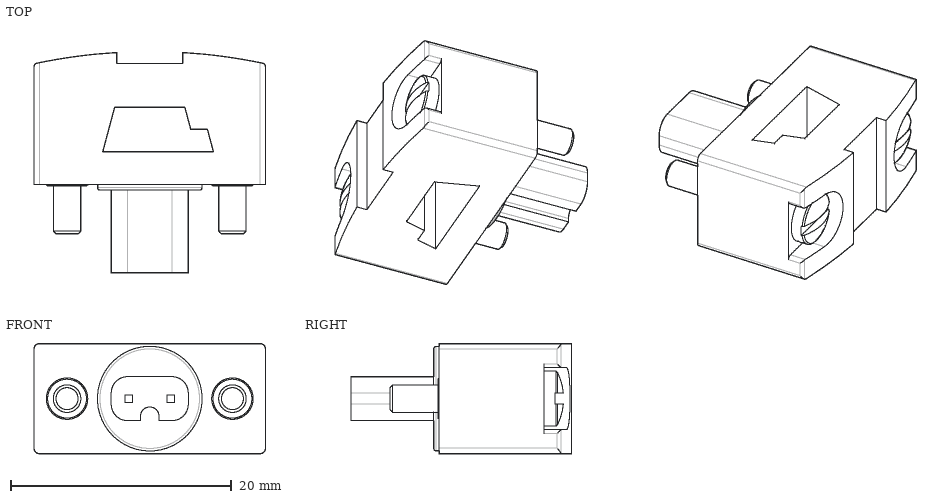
import cadquery as cq
import math

WIDTH = 21.0
HEIGHT = 10.0
BODY_DEPTH = 12.0
BACK_RADIUS = 50.0
LONG_EDGE_FILLET = 0.5
SIDE_EDGE_FILLET = 0.34

NOTCH_WIDTH = 5.96
NOTCH_DEPTH = 0.99

WINDOW_FRONT = 3.0
WINDOW_DEPTH = 4.01
WINDOW_BACK_WIDTH = 6.35
WINDOW_STEP_WIDTH = 1.51
WINDOW_SIDE_ANGLE = 15.0

PLUG_LENGTH = 8.0
PLUG_WIDTH = 7.0
PLUG_HEIGHT = 4.0
PLUG_CORNER_RADIUS = 1.5
KEYWAY_WIDTH = 1.68
KEYWAY_HEIGHT = 1.24
CONTACT_SPACING = 3.8
CONTACT_SIZE = 0.7

FLANGE_DIAMETER = 9.5
FLANGE_HEIGHT = 0.5
FLANGE_FILLET = 0.23

SCREW_SPACING = 15.0
SHANK_DIAMETER = 2.5
SHANK_LENGTH = 4.47
SHANK_CHAMFER = 0.25
COLLAR_DIAMETER = 3.75
COLLAR_HEIGHT = 0.13
COLLAR_CHAMFER = 0.115
HEAD_DIAMETER = 2 * SHANK_DIAMETER
HEAD_RIM_HEIGHT = 1.1
HEAD_RIM_CHAMFER = 0.15
HEAD_HEIGHT = 1.78
DRIVER_SLOT_WIDTH = 0.99
DRIVER_SLOT_DEPTH = 0.78

POCKET_DEPTH = 2.5
POCKET_WIDTH = 5.63

SIDES = (-1, 1)
EDGE_TOLERANCE = 0.02
half_width = WIDTH / 2
pocket_floor = BODY_DEPTH - POCKET_DEPTH


def bow_drop(x):
    """Distance of the bowed back in front of its apex at a given x."""
    return BACK_RADIUS - math.sqrt(BACK_RADIUS**2 - x**2)


apex_y = BODY_DEPTH + bow_drop(NOTCH_WIDTH / 2)
corner_y = apex_y - bow_drop(half_width)


def facing_front(y):
    """Workplane at a given y whose extrusions grow toward -Y."""
    return cq.Workplane("XZ", origin=(0, y, 0))


def make_block():
    """Housing outline with its bowed back, edges still sharp."""
    outline = (
        cq.Workplane("XY")
        .moveTo(-half_width, 0)
        .lineTo(half_width, 0)
        .lineTo(half_width, corner_y)
        .threePointArc((0, apex_y), (-half_width, corner_y))
        .close()
    )
    return outline.extrude(HEIGHT / 2, both=True)


def make_pocket(side):
    """Round-ended pocket around one screw, open to the side and to the back."""
    screw_x = side * SCREW_SPACING / 2
    round_end = facing_front(apex_y).center(screw_x, 0).circle(POCKET_WIDTH / 2)
    channel_x = screw_x + side * half_width / 2
    channel = facing_front(apex_y).center(channel_x, 0).rect(half_width, POCKET_WIDTH)
    depth = apex_y - pocket_floor
    return round_end.extrude(depth).union(channel.extrude(depth))


def make_window():
    """Trapezoid with a step in its +X side."""
    slope = math.tan(math.radians(WINDOW_SIDE_ANGLE))
    back_x = WINDOW_BACK_WIDTH / 2
    back_y = WINDOW_FRONT + WINDOW_DEPTH
    step_y = WINDOW_FRONT + WINDOW_DEPTH / 2
    step_x = back_x + slope * WINDOW_DEPTH / 2
    front_x = back_x + slope * WINDOW_DEPTH
    outline = cq.Workplane("XY").polyline([
        (-front_x, WINDOW_FRONT),
        (front_x + WINDOW_STEP_WIDTH, WINDOW_FRONT),
        (step_x + WINDOW_STEP_WIDTH, step_y),
        (step_x, step_y),
        (back_x, back_y),
        (-back_x, back_y),
    ])
    return outline.close().extrude(HEIGHT, both=True)


def make_notch():
    notch = cq.Workplane("XY").box(NOTCH_WIDTH, NOTCH_DEPTH * 2, HEIGHT, centered=(True, False, True))
    return notch.translate((0, BODY_DEPTH - NOTCH_DEPTH, 0))


def make_envelope():
    """Bar with rounded long edges that trims the block."""
    envelope = facing_front(apex_y).rect(WIDTH, HEIGHT).extrude(apex_y)
    return envelope.edges("|Y").fillet(LONG_EDGE_FILLET)


def is_side_rim(edge):
    """True for the edges of a side face along its back and beside its pocket."""
    center = edge.Center()
    return center.y > pocket_floor + EDGE_TOLERANCE and abs(center.z) < HEIGHT / 2 - EDGE_TOLERANCE


def make_housing():
    housing = make_block()
    for side in SIDES:
        housing = housing.cut(make_pocket(side))
    for face in ("<X", ">X"):
        rims = housing.faces(face).edges().filter(is_side_rim)
        housing = rims.fillet(SIDE_EDGE_FILLET)
    return housing.intersect(make_envelope()).cut(make_window()).cut(make_notch())


def make_plug():
    plug = facing_front(0).rect(PLUG_WIDTH, PLUG_HEIGHT).extrude(PLUG_LENGTH)
    plug = plug.edges("|Y").fillet(PLUG_CORNER_RADIUS)
    keyway_radius = KEYWAY_WIDTH / 2
    keyway_bottom = -PLUG_HEIGHT / 2
    shoulder_z = keyway_bottom + KEYWAY_HEIGHT - keyway_radius
    keyway = (
        facing_front(-FLANGE_HEIGHT)
        .moveTo(-keyway_radius, keyway_bottom)
        .lineTo(-keyway_radius, shoulder_z)
        .threePointArc((0, shoulder_z + keyway_radius), (keyway_radius, shoulder_z))
        .lineTo(keyway_radius, keyway_bottom)
        .close()
        .extrude(PLUG_LENGTH)
    )
    return plug.cut(keyway)


def make_contact_holes():
    """Square holes from the plug tip down to the flange."""
    centers = [(side * CONTACT_SPACING / 2, 0) for side in SIDES]
    holes = facing_front(-FLANGE_HEIGHT).pushPoints(centers).rect(CONTACT_SIZE, CONTACT_SIZE)
    return holes.extrude(PLUG_LENGTH)


def make_flange():
    flange = facing_front(0).circle(FLANGE_DIAMETER / 2).extrude(FLANGE_HEIGHT)
    return flange.faces("<Y").edges().fillet(FLANGE_FILLET)


def make_screw():
    """Visible ends of a screw, on the Y axis."""
    shank = facing_front(0).circle(SHANK_DIAMETER / 2).extrude(SHANK_LENGTH)
    shank = shank.faces("<Y").chamfer(SHANK_CHAMFER)
    collar = facing_front(0).circle(COLLAR_DIAMETER / 2).extrude(COLLAR_HEIGHT)
    collar = collar.faces("<Y").chamfer(COLLAR_CHAMFER)
    return shank.union(collar).union(make_screw_head())


def make_screw_head():
    rim_radius = HEAD_DIAMETER / 2
    dome_radius = rim_radius - HEAD_RIM_CHAMFER
    rim_top = pocket_floor + HEAD_RIM_HEIGHT
    dome_base = rim_top + HEAD_RIM_CHAMFER
    dome_top = pocket_floor + HEAD_HEIGHT
    dome_rise = dome_top - dome_base
    sphere_radius = (dome_radius**2 + dome_rise**2) / (2 * dome_rise)
    mid_x = dome_radius / 2
    mid_y = dome_top - sphere_radius + math.sqrt(sphere_radius**2 - mid_x**2)
    head = (
        cq.Workplane("XY")
        .moveTo(0, pocket_floor)
        .lineTo(rim_radius, pocket_floor)
        .lineTo(rim_radius, rim_top)
        .lineTo(dome_radius, dome_base)
        .threePointArc((mid_x, mid_y), (0, dome_top))
        .close()
        .revolve(360, (0, 0, 0), (0, 1, 0))
    )
    slot = facing_front(dome_top).rect(2 * HEAD_DIAMETER, DRIVER_SLOT_WIDTH).extrude(DRIVER_SLOT_DEPTH)
    return head.cut(slot)


result = make_housing().union(make_flange()).union(make_plug()).cut(make_contact_holes())
for side in SIDES:
    result = result.union(make_screw().translate((side * SCREW_SPACING / 2, 0, 0)))